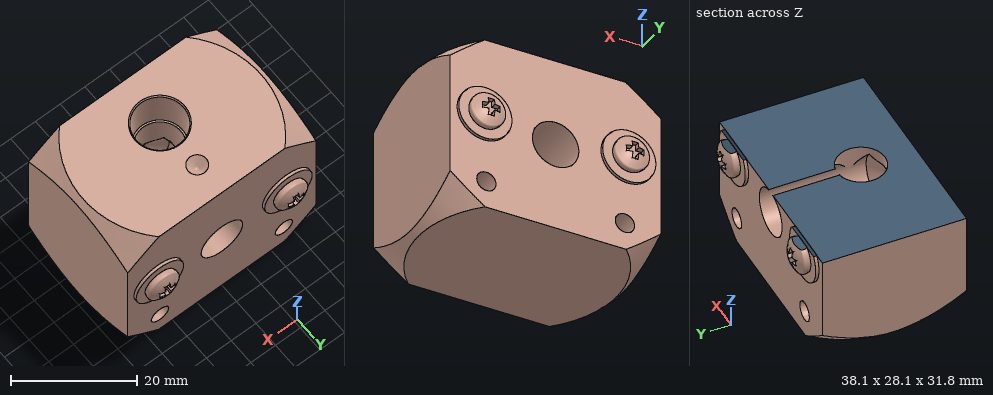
import cadquery as cq
import math


BLOCK_X = 38.1
BLOCK_Y = 25.37
BLOCK_Z = 31.75
BACK_Y = BLOCK_Y / 2
END_FACE_RADIUS = 18.0
TURNING_RADIUS = math.hypot(BLOCK_X, BLOCK_Y) / 2 + 0.4

MOUNT_DIAMETER = 3.45
MOUNT_SPACING = 25.05
MOUNT_Z = 4.9

PORT_Y = -3.15
PORT_MOUTH_DIAMETER = 10.0
PORT_TOP_DIAMETER = 9.52
PORT_CHAMFER = (PORT_MOUTH_DIAMETER - PORT_TOP_DIAMETER) / 2
PORT_DEPTH = 7.62
PIPE_TAPER = 1 / 16
PASSAGE_DIAMETER = 8.4

CROSS_BORE_DIAMETER = PASSAGE_DIAMETER
CROSS_BORE_Z = BLOCK_Z / 2
CROSS_BORE_END_Y = -6.05
DRILL_POINT_ANGLE = 118.0

SPOT_DIAMETER = 3.62
SPOT_Y = 6.35

SCREW_SPACING = 26.0
SCREW_Z = 17.45
WASHER_DIAMETER = 9.6
WASHER_THICKNESS = 0.57
HEAD_DIAMETER = 6.25
HEAD_BASE_DIAMETER = 6.02
HEAD_HEIGHT = 2.25
HEAD_BASE_HEIGHT = 0.4
HEAD_SIDE_HEIGHT = 0.88
DOME_BASE_HEIGHT = 1.25
DOME_BASE_DIAMETER = 5.7
RECESS_LENGTH = 3.12
RECESS_WIDTH = 1.05
RECESS_DEPTH = 1.15


def turned_envelope():
    """Cylinder about the block's Z axis with 45 degree chamfers that trim the block's corners."""
    return (
        cq.Workplane("XY")
        .circle(TURNING_RADIUS)
        .extrude(BLOCK_Z)
        .faces("<Z or >Z")
        .chamfer(TURNING_RADIUS - END_FACE_RADIUS)
    )


def mount_holes():
    return (
        cq.Workplane("XZ", origin=(0, BACK_Y, MOUNT_Z))
        .pushPoints([(-MOUNT_SPACING / 2, 0), (MOUNT_SPACING / 2, 0)])
        .circle(MOUNT_DIAMETER / 2)
        .extrude(BLOCK_Y)
    )


def top_port():
    """Chamfer, pipe taper and passage, revolved about the port's vertical axis."""
    top_radius = PORT_TOP_DIAMETER / 2
    shoulder_radius = top_radius - PIPE_TAPER * (PORT_DEPTH - PORT_CHAMFER) / 2
    passage_radius = PASSAGE_DIAMETER / 2
    return (
        cq.Workplane("XZ", origin=(0, PORT_Y, BLOCK_Z))
        .lineTo(PORT_MOUTH_DIAMETER / 2, 0)
        .lineTo(top_radius, -PORT_CHAMFER)
        .lineTo(shoulder_radius, -PORT_DEPTH)
        .lineTo(passage_radius, -PORT_DEPTH)
        .lineTo(passage_radius, CROSS_BORE_Z - BLOCK_Z)
        .lineTo(0, CROSS_BORE_Z - BLOCK_Z)
        .close()
        .revolve(360, (0, 0), (0, 1))
    )


def cross_bore():
    radius = CROSS_BORE_DIAMETER / 2
    point_length = radius / math.tan(math.radians(DRILL_POINT_ANGLE / 2))
    return (
        cq.Workplane("XY", origin=(0, 0, CROSS_BORE_Z))
        .moveTo(0, BACK_Y)
        .lineTo(radius, BACK_Y)
        .lineTo(radius, CROSS_BORE_END_Y)
        .lineTo(0, CROSS_BORE_END_Y - point_length)
        .close()
        .revolve(360, (0, 0), (0, 1))
    )


def top_spot():
    radius = SPOT_DIAMETER / 2
    return (
        cq.Workplane("XZ", origin=(0, SPOT_Y, BLOCK_Z))
        .lineTo(radius, 0)
        .lineTo(0, -radius)
        .close()
        .revolve(360, (0, 0), (0, 1))
    )


def make_block():
    return (
        cq.Workplane("XY")
        .box(BLOCK_X, BLOCK_Y, BLOCK_Z, centered=(True, True, False))
        .intersect(turned_envelope())
        .cut(mount_holes())
        .cut(top_port())
        .cut(cross_bore())
        .cut(top_spot())
    )


def make_washer(x):
    return (
        cq.Workplane("XZ", origin=(x, BACK_Y, SCREW_Z))
        .circle(WASHER_DIAMETER / 2)
        .extrude(-WASHER_THICKNESS)
    )


def make_screw_head(x):
    """Domed screw head with a cross recess, seated on its washer."""
    seat_y = BACK_Y + WASHER_THICKNESS
    side_radius = HEAD_DIAMETER / 2
    dome_base_radius = DOME_BASE_DIAMETER / 2
    dome_rise = HEAD_HEIGHT - DOME_BASE_HEIGHT
    dome_radius = (dome_base_radius**2 + dome_rise**2) / (2 * dome_rise)
    head = (
        cq.Workplane("XY", origin=(x, seat_y, SCREW_Z))
        .lineTo(HEAD_BASE_DIAMETER / 2, 0)
        .lineTo(side_radius, HEAD_BASE_HEIGHT)
        .lineTo(side_radius, HEAD_SIDE_HEIGHT)
        .tangentArcPoint((dome_base_radius, DOME_BASE_HEIGHT), relative=False)
        .radiusArc((0, HEAD_HEIGHT), -dome_radius)
        .close()
        .revolve(360, (0, 0), (0, 1))
    )
    crown = cq.Workplane("XZ", origin=(x, seat_y + HEAD_HEIGHT, SCREW_Z))
    slot_x = crown.rect(RECESS_LENGTH, RECESS_WIDTH).extrude(RECESS_DEPTH)
    slot_z = crown.rect(RECESS_WIDTH, RECESS_LENGTH).extrude(RECESS_DEPTH)
    return head.cut(slot_x).cut(slot_z)


block = make_block()
washers = []
screw_heads = []
for x in (-SCREW_SPACING / 2, SCREW_SPACING / 2):
    washers.append(make_washer(x).solids().val())
    screw_heads.append(make_screw_head(x).solids().val())

result = cq.Compound.makeCompound([block.solids().val(), *washers, *screw_heads])